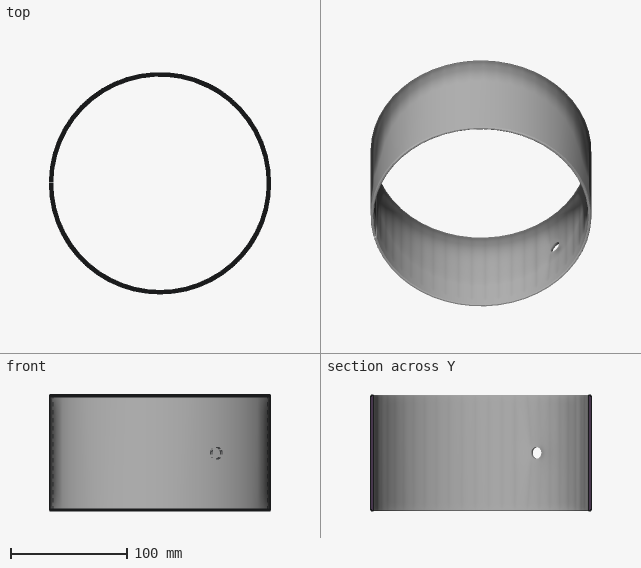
import cadquery as cq
import math

outer_diameter = 190.0
height = 100.0
wall = 2.5

outer_chamfer_height = 1.5
outer_chamfer_width = 0.5
inner_chamfer = 0.8

slit_end_angle = 180.0
slit_angle = 1.0

hole_diameter = 10.0
hole_angle = 59.0

outer_radius = outer_diameter / 2
inner_radius = outer_radius - wall
half_height = height / 2


def make_ring():
    """Thin ring, centred on the origin, with chamfered end rims."""
    outer_rim_radius = outer_radius - outer_chamfer_width
    inner_rim_radius = inner_radius + inner_chamfer
    outer_shoulder = half_height - outer_chamfer_height
    inner_shoulder = half_height - inner_chamfer
    upper_half = [
        (outer_radius, outer_shoulder),
        (outer_rim_radius, half_height),
        (inner_rim_radius, half_height),
        (inner_radius, inner_shoulder),
    ]
    lower_half = [(radius, -z) for radius, z in reversed(upper_half)]
    profile = cq.Workplane("XZ").polyline(upper_half + lower_half).close()
    return profile.revolve(360, (0, 0), (0, 1))


def make_slit():
    """Wedge from the ring axis outwards, taller and wider than the ring."""
    start = math.radians(slit_end_angle - slit_angle)
    end = math.radians(slit_end_angle)
    corners = [(0, 0)]
    for angle in (start, end):
        corners.append((outer_diameter * math.cos(angle), outer_diameter * math.sin(angle)))
    return cq.Workplane("XY").polyline(corners).close().extrude(height, both=True)


def make_hole():
    """Radial cutter through one side of the wall only."""
    drill = cq.Workplane("YZ").circle(hole_diameter / 2).extrude(outer_diameter)
    return drill.rotate((0, 0, 0), (0, 0, 1), hole_angle)


result = make_ring().cut(make_slit()).cut(make_hole())